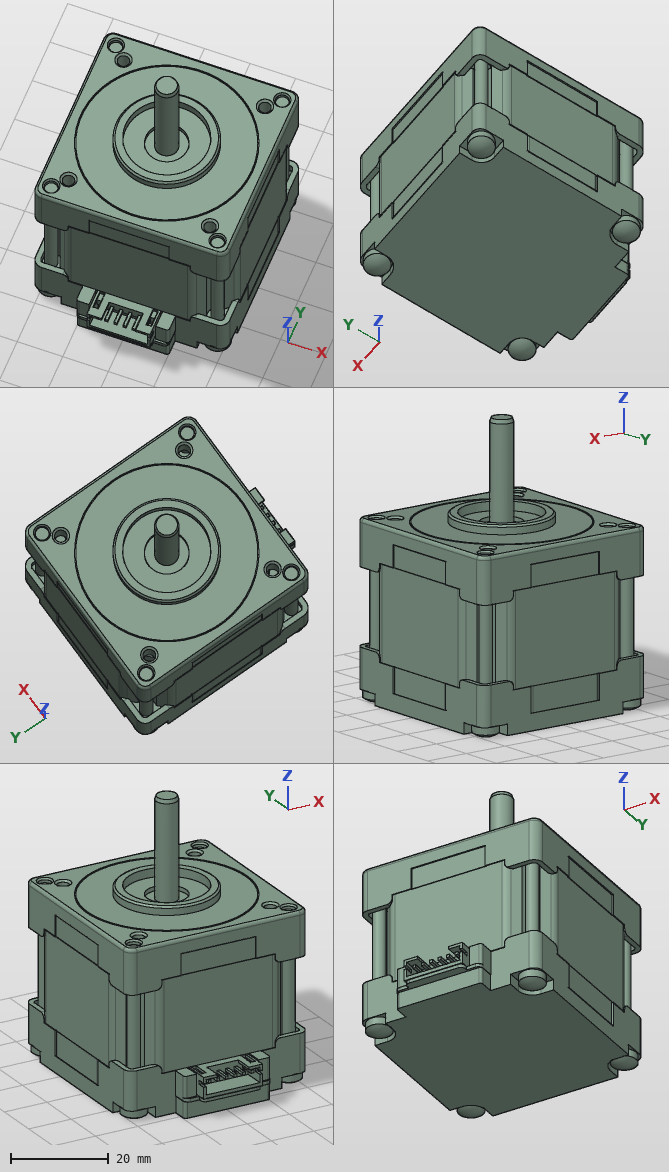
import cadquery as cq
import math


TOTAL_HEIGHT = 60.85
BODY_BOTTOM = 0.25
STATOR_BOTTOM = 9.7
LOWER_COVER_TOP = 11.6
UPPER_COVER_BOTTOM = 28.55
STATOR_TOP = 30.55
BODY_TOP = 38.8
BOSS_TOP = 40.85

COVER_SIDE = 42.6
COVER_HALF = COVER_SIDE / 2
COVER_CORNER_RADIUS = 2.05
TOP_EDGE_RADIUS = 0.9
TOP_EDGE_DROP = 0.85
SKIRT_WALL = 1.2
SKIRT_HALF_GAP = 13.4
SKIRT_CORNER_RADIUS = 1.15
CAVITY_CEILING = 34.1
CAVITY_INNER_DISTANCE = 21.05

STATOR_HALF = 21.1
STATOR_FLAT_HALF = 13.75
STATOR_EDGE_RADIUS = 2.4

SCREW_OFFSET = 18.25
SCREW_RADIUS = 1.4
SCREW_GROOVE_RADIUS = 2.25
SCREW_TIP_DEPTH = 1.05
SCREW_HEAD_RADIUS = 2.85
SCREW_DOME_HEIGHT = 1.0
HEAD_POCKET_TOP = 2.7
HEAD_POCKET_SIDE = 6.4
HEAD_POCKET_RADIUS = HEAD_POCKET_SIDE - (COVER_HALF - SCREW_OFFSET)
MOUNT_OFFSET = 15.5
HOLE_MOUTH_RADIUS = 1.75
SCREW_HOLE_RADIUS = 1.45
MOUNT_HOLE_RADIUS = 1.3
HOLE_CHAMFER_DEPTH = 0.4

RING_RADIUS = 18.85
RING_WIDTH = 0.25
RING_DEPTH = 0.1
BOSS_RADIUS = 11.0
BOSS_CHAMFER = 0.4
BOSS_BORE_RADIUS = 9.0
SHAFT_HOLE_RADIUS = 4.55
SHAFT_HOLE_DEPTH = 1.0
SHAFT_RADIUS = 2.5
SHAFT_CHAMFER_INSET = 0.3
SHAFT_CHAMFER_DROP = 0.85

WINDOW_WIDTH = 17.65
WINDOW_DEPTH = 0.3
UPPER_WINDOW_TOP = 35.4
BASE_TOP = 4.0
PAD_EDGE_RADIUS = 0.55
PAD_RECESS = 0.1

HOUSING_HALF_WIDTH = 10.15
BASE_SETBACK = 0.05
EAR_FRONT = 25.0
HOUSING_EDGE_RADIUS = 0.6
HOUSING_ROOT = COVER_HALF - 0.6
BOARD_TOP = 4.8
BOARD_FRONT = 25.5
BOARD_CORNER_RADIUS = 1.15
TONGUE_FRONT = 27.1
EAR_INNER = 7.3
PLUG_HALF_WIDTH = 6.95
PLUG_FRONT = 27.25
PLUG_BACK = 23.0
PLUG_WALL = 0.6
PLUG_FLOOR = 5.65
UNDERCUT_LOW = 6.8
UNDERCUT_HIGH = 7.4
UNDERCUT_DEPTH = 0.6
KEY_HALF_WIDTH = 3.7
SIDE_SLOT_BOTTOM = 7.5
SIDE_SLOT_TOP = 8.3
SIDE_SLOT_BACK = 25.4
TOP_SLOT_INNER = 5.3
TOP_SLOT_OUTER = 6.4
TOP_SLOT_FRONT = 25.25
PIN_COUNT = 6
PIN_PITCH = 2.0
PIN_SIZE = 0.65
PIN_CENTER_Z = 8.1
PIN_FRONT = 26.4

PLUG_TOP = STATOR_BOTTOM
CORNER_SIGNS = [(-1, -1), (1, -1), (1, 1), (-1, 1)]


def box(x0, x1, y0, y1, z0, z1):
    """Axis-aligned box between two corners."""
    return cq.Workplane("XY").box(x1 - x0, y1 - y0, z1 - z0, centered=False).translate((x0, y0, z0))


def cylinder(radius, z0, z1):
    """Cylinder on the motor axis."""
    return cq.Workplane("XY").workplane(offset=z0).circle(radius).extrude(z1 - z0)


def at_corners(shape, offset):
    """Four copies of a shape, moved from the axis to (+-offset, +-offset)."""
    copies = cq.Workplane("XY")
    for sx, sy in CORNER_SIGNS:
        copies = copies.add(shape.translate((sx * offset, sy * offset, 0)))
    return copies.combine()


def square_prism(half, corner_radius, z0, z1):
    """Square block on the axis with rounded vertical edges."""
    return box(-half, half, -half, half, z0, z1).edges("|Z").fillet(corner_radius)


def skirt_gap(z0, z1, rim):
    """Cross-shaped clearance between the corner skirts; their corners at the rim level are rounded."""
    inward = 1 if rim == z0 else -1
    flare = SKIRT_HALF_GAP + SKIRT_CORNER_RADIUS
    round_z = rim + inward * SKIRT_CORNER_RADIUS
    gap = box(-SKIRT_HALF_GAP, SKIRT_HALF_GAP, -COVER_SIDE, COVER_SIDE, z0, z1)
    low, high = sorted((rim, round_z))
    flared = box(-flare, flare, -COVER_SIDE, COVER_SIDE, low, high)
    for side in (-1, 1):
        rounding = (
            cq.Workplane("XZ").center(side * flare, round_z).circle(SKIRT_CORNER_RADIUS)
            .extrude(COVER_SIDE, both=True)
        )
        flared = flared.cut(rounding)
    gap = gap.union(flared)
    return gap.union(gap.rotate((0, 0, 0), (0, 0, 1), 90))


def corner_cavity(z0, z1):
    """Hollow inside the four corners of a cover, closed toward the axis by a diagonal wall."""
    inner = COVER_HALF - SKIRT_WALL
    hollow = square_prism(inner, COVER_CORNER_RADIUS - SKIRT_WALL, z0, z1)
    core = box(
        -CAVITY_INNER_DISTANCE, CAVITY_INNER_DISTANCE,
        -CAVITY_INNER_DISTANCE, CAVITY_INNER_DISTANCE, z0, z1,
    ).rotate((0, 0, 0), (0, 0, 1), 45)
    return hollow.cut(core)


def upper_cover():
    """Front cover with a rounded top edge, corner skirts and shallow side windows."""
    arc_top = BODY_TOP - TOP_EDGE_DROP + TOP_EDGE_RADIUS
    cover = square_prism(COVER_HALF, COVER_CORNER_RADIUS, UPPER_COVER_BOTTOM, arc_top)
    cover = cover.faces(">Z").edges().fillet(TOP_EDGE_RADIUS)
    cover = cover.cut(box(-COVER_HALF, COVER_HALF, -COVER_HALF, COVER_HALF, BODY_TOP, arc_top))
    cover = cover.cut(skirt_gap(UPPER_COVER_BOTTOM, STATOR_TOP, UPPER_COVER_BOTTOM))
    cover = cover.cut(corner_cavity(UPPER_COVER_BOTTOM, CAVITY_CEILING))
    half = WINDOW_WIDTH / 2
    floor = COVER_HALF - WINDOW_DEPTH
    for turn in range(4):
        window = box(-half, half, -COVER_SIDE, -floor, STATOR_TOP, UPPER_WINDOW_TOP)
        cover = cover.cut(window.rotate((0, 0, 0), (0, 0, 1), 90 * turn))
    return cover


def lower_cover():
    """Rear cover with corner skirts, screw-head pockets and pads in its side windows."""
    cover = square_prism(COVER_HALF, COVER_CORNER_RADIUS, BODY_BOTTOM, LOWER_COVER_TOP)
    cover = cover.cut(skirt_gap(STATOR_BOTTOM, LOWER_COVER_TOP, LOWER_COVER_TOP))
    cover = cover.cut(corner_cavity(STATOR_BOTTOM, LOWER_COVER_TOP))
    pocket = square_prism(HEAD_POCKET_SIDE, HEAD_POCKET_RADIUS, BODY_BOTTOM, HEAD_POCKET_TOP)
    cover = cover.cut(at_corners(pocket, COVER_HALF))
    half = WINDOW_WIDTH / 2
    pad_front = COVER_HALF - PAD_RECESS
    floor = pad_front - PAD_EDGE_RADIUS
    pad = box(-half, half, -pad_front, 0, BASE_TOP, STATOR_BOTTOM)
    pad = pad.edges("|Z and <Y").fillet(PAD_EDGE_RADIUS)
    for turn in range(1, 4):
        window = box(-half, half, -COVER_HALF, -floor, BASE_TOP, STATOR_BOTTOM)
        cover = cover.cut(window.cut(pad).rotate((0, 0, 0), (0, 0, 1), 90 * turn))
    return cover


def stator():
    """Octagonal stack with rounded edges and a round groove for each tie screw."""
    a = STATOR_HALF
    b = STATOR_FLAT_HALF
    outline = [(b, -a), (a, -b), (a, b), (b, a), (-b, a), (-a, b), (-a, -b), (-b, -a)]
    stack = (
        cq.Workplane("XY").workplane(offset=STATOR_BOTTOM).polyline(outline).close()
        .extrude(STATOR_TOP - STATOR_BOTTOM).edges("|Z").fillet(STATOR_EDGE_RADIUS)
    )
    groove = cylinder(SCREW_GROOVE_RADIUS, STATOR_BOTTOM, STATOR_TOP)
    return stack.cut(at_corners(groove, SCREW_OFFSET))


def tie_screw():
    """Rod with a domed head, standing on the axis before it is moved to a corner."""
    rod_top = BODY_TOP - SCREW_TIP_DEPTH
    dome_mid_radius = SCREW_HEAD_RADIUS / 2
    dome_radius = (SCREW_HEAD_RADIUS**2 + SCREW_DOME_HEIGHT**2) / (2 * SCREW_DOME_HEIGHT)
    dome_mid_z = dome_radius - math.sqrt(dome_radius**2 - dome_mid_radius**2)
    return (
        cq.Workplane("XZ").moveTo(0, 0)
        .threePointArc((dome_mid_radius, dome_mid_z), (SCREW_HEAD_RADIUS, SCREW_DOME_HEIGHT))
        .lineTo(SCREW_HEAD_RADIUS, HEAD_POCKET_TOP)
        .lineTo(SCREW_RADIUS, HEAD_POCKET_TOP)
        .lineTo(SCREW_RADIUS, rod_top)
        .lineTo(0, rod_top)
        .close().revolve(360, (0, 0, 0), (0, 1, 0))
    )


def countersunk_hole(radius, bottom):
    """Cutter for a hole in the top face with a wider conical mouth."""
    cone_bottom = BODY_TOP - HOLE_CHAMFER_DEPTH
    return (
        cq.Workplane("XZ").moveTo(0, bottom)
        .lineTo(radius, bottom)
        .lineTo(radius, cone_bottom)
        .lineTo(HOLE_MOUTH_RADIUS, BODY_TOP)
        .lineTo(0, BODY_TOP)
        .close().revolve(360, (0, 0, 0), (0, 1, 0))
    )


def boss_and_shaft(body):
    """Add the pilot boss and the shaft, and cut the ring groove and the shaft recess."""
    ring = cylinder(RING_RADIUS, BODY_TOP - RING_DEPTH, BODY_TOP)
    ring = ring.cut(cylinder(RING_RADIUS - RING_WIDTH, BODY_TOP - RING_DEPTH, BODY_TOP))
    boss = cylinder(BOSS_RADIUS, BODY_TOP, BOSS_TOP).faces(">Z").chamfer(BOSS_CHAMFER)
    boss = boss.cut(cylinder(BOSS_BORE_RADIUS, BODY_TOP, BOSS_TOP))
    recess_floor = BODY_TOP - SHAFT_HOLE_DEPTH
    recess = cylinder(SHAFT_HOLE_RADIUS, recess_floor, BODY_TOP)
    shaft = cylinder(SHAFT_RADIUS, STATOR_TOP, TOTAL_HEIGHT)
    shaft = shaft.faces(">Z").chamfer(SHAFT_CHAMFER_DROP, SHAFT_CHAMFER_INSET)
    return body.cut(ring).union(boss).cut(recess).union(shaft)


def connector_housing():
    """Base block, board layer and the two ears beside the plug."""
    wall = -HOUSING_ROOT
    w = HOUSING_HALF_WIDTH
    base_half = w - BASE_SETBACK
    base = box(-base_half, base_half, -(EAR_FRONT - BASE_SETBACK), wall, BODY_BOTTOM, BASE_TOP)
    base = base.edges("|Z and <Y").fillet(HOUSING_EDGE_RADIUS)
    board = box(-w, w, -BOARD_FRONT, wall, BASE_TOP, BOARD_TOP)
    board = board.edges("|Z and <Y").fillet(BOARD_CORNER_RADIUS)
    tongue = box(-PLUG_HALF_WIDTH, PLUG_HALF_WIDTH, -TONGUE_FRONT, wall, BASE_TOP, BOARD_TOP)
    tongue = tongue.edges("|Z and <Y").fillet(BOARD_CORNER_RADIUS)
    ears = box(-w, w, -EAR_FRONT, wall, BOARD_TOP, PLUG_TOP)
    ears = ears.edges("|Z and <Y").fillet(HOUSING_EDGE_RADIUS)
    ears = ears.cut(box(-EAR_INNER, EAR_INNER, -EAR_FRONT, -COVER_HALF, BOARD_TOP, PLUG_TOP))
    return base.union(board).union(tongue).union(ears)


def connector_plug():
    """Shrouded plug, open toward -Y, with key opening, slots and contact pins."""
    w = PLUG_HALF_WIDTH
    inner = w - PLUG_WALL
    ceiling = PLUG_TOP - PLUG_WALL
    plug = box(-w, w, -PLUG_FRONT, -HOUSING_ROOT, BOARD_TOP, PLUG_TOP)
    back = -PLUG_BACK
    cavity_side = [
        (-PLUG_FRONT, PLUG_FLOOR),
        (back + UNDERCUT_DEPTH, PLUG_FLOOR),
        (back + UNDERCUT_DEPTH, UNDERCUT_LOW),
        (back, UNDERCUT_HIGH),
        (back, ceiling),
        (-PLUG_FRONT, ceiling),
    ]
    cavity = cq.Workplane("YZ").polyline(cavity_side).close().extrude(inner, both=True)
    key = box(-KEY_HALF_WIDTH, KEY_HALF_WIDTH, -PLUG_FRONT, back, ceiling, PLUG_TOP)
    side_slot = box(-w, w, -PLUG_FRONT, -SIDE_SLOT_BACK, SIDE_SLOT_BOTTOM, SIDE_SLOT_TOP)
    plug = plug.cut(cavity).cut(key).cut(side_slot)
    for x0 in (-TOP_SLOT_OUTER, TOP_SLOT_INNER):
        x1 = x0 + TOP_SLOT_OUTER - TOP_SLOT_INNER
        plug = plug.cut(box(x0, x1, -TOP_SLOT_FRONT, -COVER_HALF, ceiling, PLUG_TOP))
    half = PIN_SIZE / 2
    for index in range(PIN_COUNT):
        x = (index - (PIN_COUNT - 1) / 2) * PIN_PITCH
        pin = box(x - half, x + half, -PIN_FRONT, back + half, PIN_CENTER_Z - half, PIN_CENTER_Z + half)
        plug = plug.union(pin)
    return plug


body = upper_cover().union(lower_cover()).union(stator())
body = body.cut(at_corners(countersunk_hole(SCREW_HOLE_RADIUS, STATOR_TOP), SCREW_OFFSET))
body = body.cut(at_corners(countersunk_hole(MOUNT_HOLE_RADIUS, CAVITY_CEILING), MOUNT_OFFSET))
body = body.union(at_corners(tie_screw(), SCREW_OFFSET))
body = boss_and_shaft(body)
result = body.union(connector_housing()).union(connector_plug())